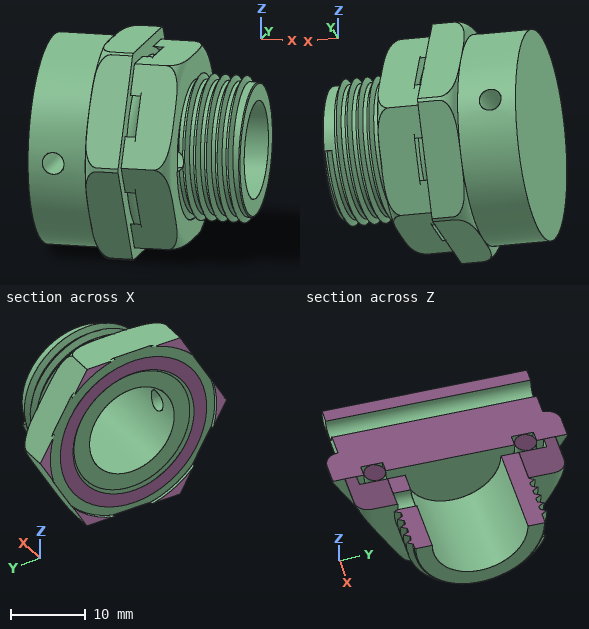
import cadquery as cq
import math


hex_corner_ratio = 1 / math.cos(math.radians(30))

cap_diameter = 28.58
cap_head_length = 8.0
cap_length = 13.0
cap_hex_flats = cap_diameter
cap_hex_corners = 32.7
cap_hole_diameter = 3.0
cap_hole_x = 3.5

nut_flats = 25.4
nut_corners = nut_flats * hex_corner_ratio
nut_end_x = 19.4
recess_diameter = 26.05
recess_depth = 1.42
recess_floor_x = cap_length + recess_depth

ring_section_diameter = 3.0
ring_outer_diameter = 24.0
ring_section_radius = ring_section_diameter / 2
ring_mean_radius = ring_outer_diameter / 2 - ring_section_radius
ring_x = recess_floor_x - ring_section_radius

stem_tip_x = 28.0
stem_diameter = 18.2
stem_bore_diameter = 13.3
stem_tip_chamfer = 0.15
stem_hole_diameter = 3.0
stem_hole_x = 18.8

thread_crest_diameter = 19.84
thread_pitch = 1.5
thread_turns = 6
thread_end_x = 27.27
thread_end_angle = 71.0
thread_flank_angle = 30.0
thread_root_overlap = 0.05


def cylinder(diameter, start_x, end_x):
    """Round bar along the X axis."""
    return cq.Workplane("YZ", origin=(start_x, 0, 0)).circle(diameter / 2).extrude(end_x - start_x)


def hex_prism(flats, start_x, end_x):
    """Hexagonal bar along the X axis with two flats facing up and down."""
    corner_diameter = flats * hex_corner_ratio
    prism = cq.Workplane("YZ", origin=(start_x, 0, 0)).polygon(6, corner_diameter)
    return prism.extrude(end_x - start_x)


def rounded_hex(flats, corners, flat_x, rounded_x):
    """Hexagonal bar whose corners roll over, at rounded_x, onto the circle that touches the flats."""
    start_x = min(flat_x, rounded_x)
    end_x = max(flat_x, rounded_x)
    rounding_radius = (corners - flats) / 2
    rounded_face = "<X" if rounded_x < flat_x else ">X"
    envelope = cylinder(corners, start_x, end_x).faces(rounded_face).edges().fillet(rounding_radius)
    return hex_prism(flats, start_x, end_x).intersect(envelope)


def make_ring():
    """Round-section ring about the X axis."""
    section = cq.Workplane("XY").center(ring_x, ring_mean_radius).circle(ring_section_radius)
    return section.revolve(360, (0, -ring_mean_radius, 0), (1, -ring_mean_radius, 0))


def make_cap():
    """Round head and hexagonal flange, with a cross hole and the groove for the ring."""
    head = cylinder(cap_diameter, 0, cap_head_length)
    flange = rounded_hex(cap_hex_flats, cap_hex_corners, cap_length, cap_head_length)
    ring_outer = cylinder(ring_outer_diameter, ring_x - ring_section_radius, cap_length)
    ring_inner_diameter = ring_outer_diameter - 2 * ring_section_diameter
    groove = ring_outer.cut(cylinder(ring_inner_diameter, 0, cap_length))
    cross_hole = cq.Workplane("XZ").center(cap_hole_x, 0).circle(cap_hole_diameter / 2)
    return head.union(flange).cut(groove).cut(cross_hole.extrude(cap_diameter, both=True))


def make_nut():
    """Hexagon with a bore for the stem and a ring recess that breaks out through the six flats."""
    blank = rounded_hex(nut_flats, nut_corners, cap_length, nut_end_x)
    recess = cylinder(recess_diameter, cap_length, recess_floor_x)
    return blank.cut(recess).cut(cylinder(stem_diameter, cap_length, nut_end_x))


def make_thread():
    """Helical ridge, kept only where it stands clear of the nut."""
    length = thread_turns * thread_pitch
    root_radius = stem_diameter / 2 - thread_root_overlap
    crest_radius = thread_crest_diameter / 2
    half_base = (crest_radius - root_radius) * math.tan(math.radians(thread_flank_angle))
    helix = cq.Wire.makeHelix(thread_pitch, length, root_radius)
    profile = cq.Workplane("XZ").polyline(
        [(root_radius, -half_base), (crest_radius, 0), (root_radius, half_base)]
    ).close()
    ridge = profile.sweep(cq.Workplane(obj=helix), isFrenet=True)
    ridge = ridge.rotate((0, 0, 0), (0, 0, 1), thread_end_angle)
    ridge = ridge.rotate((0, 0, 0), (0, 1, 0), 90)
    ridge = ridge.translate((thread_end_x - length, 0, 0))
    return ridge.intersect(cylinder(cap_diameter, nut_end_x, stem_tip_x))


def make_stem():
    """Hollow threaded stem with a hole through its -Y wall, beside the nut face."""
    shank = cylinder(stem_diameter, recess_floor_x, stem_tip_x)
    shank = shank.faces(">X").edges().chamfer(stem_tip_chamfer)
    bore = cylinder(stem_bore_diameter, recess_floor_x, stem_tip_x)
    wall_hole = cq.Workplane("XZ").center(stem_hole_x, 0).circle(stem_hole_diameter / 2)
    return shank.union(make_thread()).cut(bore).cut(wall_hole.extrude(cap_diameter))


ring = make_ring()
cap = make_cap()
nut = make_nut()
stem = make_stem()

result = cq.Compound.makeCompound([body.solids().val() for body in (cap, nut, ring, stem)])